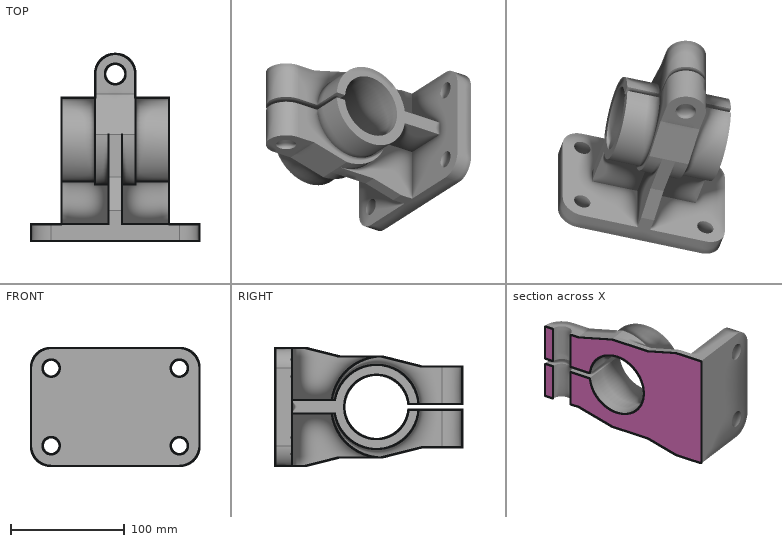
import cadquery as cq

plate_width = 148.9
plate_height = 104.3
plate_thickness = 14.9
plate_corner_radius = 17.8
plate_hole_diameter = 14.9
plate_hole_pitch_x = 113.0
plate_hole_pitch_z = 68.4

total_depth = 165.2
plate_front_y = -89.4
plate_back_y = plate_front_y + plate_thickness
lug_end_y = plate_front_y + total_depth

bore_radius = 28.3
tube_radius = 37.2
tube_length = 95.2

clamp_width = 35.7
clamp_radius = 44.6
clamp_center_y = 4.8
lug_half_height = 35.7
lug_shoulder_y = 40.1
lug_end_radius = clamp_width / 2
lug_hole_diameter = 17.8
lug_hole_y = lug_end_y - lug_end_radius
slit_height = 4.8

web_thickness = 11.9
web_taper_start_y = -32.7
web_taper_end_y = -62.5


def extrude_along_x(profile, width):
    """Extrude a YZ profile symmetrically about the X mid-plane."""
    return profile.extrude(width / 2, both=True)


def make_plate():
    plate = cq.Workplane("XY").box(plate_width, plate_thickness, plate_height)
    plate = plate.edges("|Y").fillet(plate_corner_radius)
    holes = (
        cq.Workplane("XZ")
        .rarray(plate_hole_pitch_x, plate_hole_pitch_z, 2, 2)
        .circle(plate_hole_diameter / 2)
        .extrude(plate_thickness, both=True)
    )
    return plate.cut(holes).translate((0, plate_front_y + plate_thickness / 2, 0))


def make_clamp():
    """Rounded clamp body that narrows toward the bolt lugs."""
    profile = (
        cq.Workplane("YZ")
        .moveTo(clamp_center_y, clamp_radius)
        .lineTo(lug_shoulder_y, lug_half_height)
        .lineTo(lug_end_y, lug_half_height)
        .lineTo(lug_end_y, -lug_half_height)
        .lineTo(lug_shoulder_y, -lug_half_height)
        .lineTo(clamp_center_y, -clamp_radius)
        .threePointArc((clamp_center_y - clamp_radius, 0), (clamp_center_y, clamp_radius))
        .close()
    )
    clamp = extrude_along_x(profile, clamp_width)
    rounded_outline = (
        cq.Workplane("XY")
        .moveTo(-clamp_width / 2, plate_back_y)
        .lineTo(clamp_width / 2, plate_back_y)
        .lineTo(clamp_width / 2, lug_hole_y)
        .threePointArc((0, lug_end_y), (-clamp_width / 2, lug_hole_y))
        .close()
        .extrude(clamp_radius, both=True)
    )
    return clamp.intersect(rounded_outline)


def make_vertical_web():
    """Central rib that flares to the full height of the plate."""
    upper_edge = [
        (clamp_center_y, clamp_radius),
        (web_taper_start_y, clamp_radius),
        (web_taper_end_y, plate_height / 2),
        (plate_back_y, plate_height / 2),
    ]
    lower_edge = [(y, -z) for y, z in reversed(upper_edge)]
    profile = cq.Workplane("YZ").polyline(upper_edge + lower_edge).close()
    return extrude_along_x(profile, web_thickness)


def make_horizontal_web():
    web_length = -plate_back_y
    web = cq.Workplane("XY").box(tube_length, web_length, web_thickness)
    return web.translate((0, plate_back_y / 2, 0))


tube = extrude_along_x(cq.Workplane("YZ").circle(tube_radius), tube_length)
bore = extrude_along_x(cq.Workplane("YZ").circle(bore_radius), tube_length)

slit = (
    cq.Workplane("XY")
    .box(tube_length, lug_end_y, slit_height)
    .translate((0, lug_end_y / 2, 0))
)
lug_hole = (
    cq.Workplane("XY")
    .center(0, lug_hole_y)
    .circle(lug_hole_diameter / 2)
    .extrude(lug_half_height, both=True)
)

body = make_plate().union(make_clamp()).union(tube)
body = body.union(make_vertical_web()).union(make_horizontal_web())
result = body.cut(bore).cut(slit).cut(lug_hole)